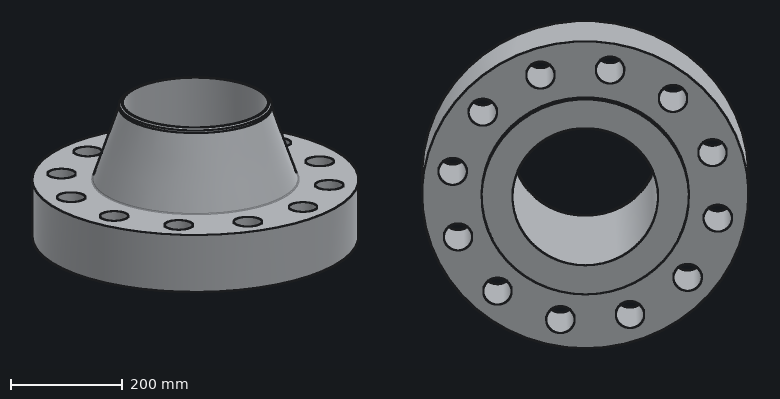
import cadquery as cq
import math

flange_diameter = 584.2
flange_thickness = 108.8

face_diameter = 371.0
face_height = 10.3

total_height = 265.13
hub_base_diameter = 368.3
neck_diameter = 273.0
bore_diameter = 260.35
hub_base_fillet = 2.0
neck_straight_length = 5.0

bevel_land = 1.6
bevel_angle = 37.5

bolt_count = 12
bolt_circle_diameter = 482.6
bolt_hole_diameter = 50.8

flange_radius = flange_diameter / 2
flange_top = face_height + flange_thickness
face_radius = face_diameter / 2
hub_base_radius = hub_base_diameter / 2
neck_radius = neck_diameter / 2
bore_radius = bore_diameter / 2
bevel_inner_radius = bore_radius + bevel_land
bevel_height = (neck_radius - bevel_inner_radius) * math.tan(math.radians(bevel_angle))
bevel_bottom = total_height - bevel_height
cone_top = bevel_bottom - neck_straight_length


def make_body():
    """Revolve the half section of raised face, flange and hub about Z, then round the hub base."""
    body = (
        cq.Workplane("XZ")
        .moveTo(bore_radius, 0)
        .lineTo(face_radius, 0)
        .lineTo(face_radius, face_height)
        .lineTo(flange_radius, face_height)
        .lineTo(flange_radius, flange_top)
        .lineTo(hub_base_radius, flange_top)
        .lineTo(neck_radius, cone_top)
        .lineTo(neck_radius, bevel_bottom)
        .lineTo(bevel_inner_radius, total_height)
        .lineTo(bore_radius, total_height)
        .close()
        .revolve(360, (0, 0, 0), (0, 1, 0))
    )
    hub_cone = body.faces("%CONE").faces("<Z")
    return hub_cone.edges("<Z").fillet(hub_base_fillet)


def make_bolt_holes():
    """Ring of cylinders that pass through the flange, the first one on +X."""
    return (
        cq.Workplane("XY")
        .polarArray(bolt_circle_diameter / 2, 0, 360, bolt_count)
        .circle(bolt_hole_diameter / 2)
        .extrude(flange_top)
    )


result = make_body().cut(make_bolt_holes())